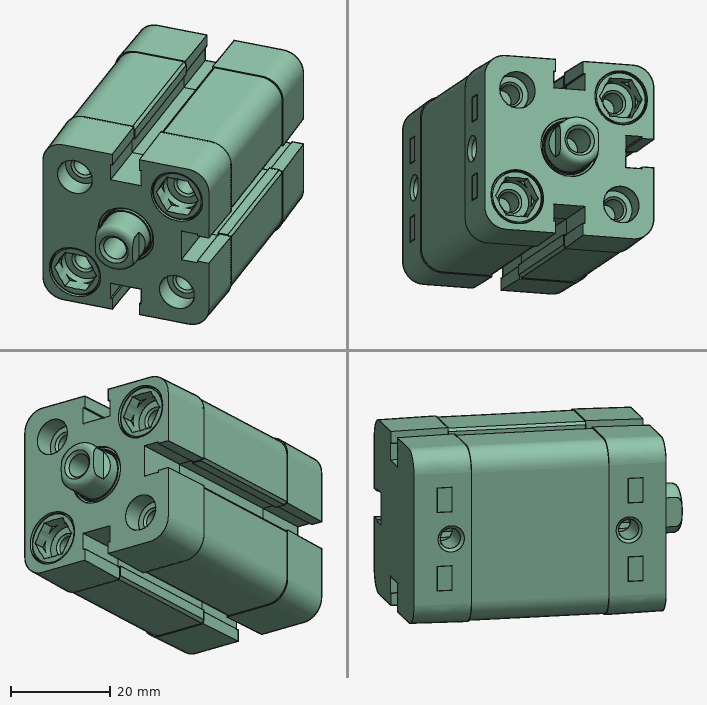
import cadquery as cq
import math


total_length = 58.6
rod_projection = 6.55
cap_length = 11.85
body_length = total_length - rod_projection
barrel_length = body_length - 2 * cap_length
mid_y = body_length / 2

cap_width = 36.3
cap_draft = 1.0
barrel_width = 35.85
corner_radius = 4.65

slot_depth = 6.15
slot_lip_depth = 2.7
slot_inner_width = 6.6
cap_slot_mouth = 5.85
barrel_slot_mouth = 5.45
barrel_slot_chamfer = 0.6

rod_diameter = 10.0
rod_end_fillet = 1.35
rod_flats = 8.0
rod_flat_length = 3.45
rod_thread_diameter = 4.9
rod_thread_mouth = 6.2
rod_thread_depth = 8.8
rod_rear_gap = 6.0
rod_length = total_length - rod_rear_gap

wiper_recess_diameter = 12.0
wiper_recess_depth = 0.6
wiper_lip_outer_base = 11.1
wiper_lip_outer_tip = 10.9
wiper_lip_inner_tip = 10.5

corner_pitch = 22.05
plain_hole_diameter = 7.5
plain_hole_depth = 4.4
pilot_diameter = 4.15
pilot_mouth = 5.1
pilot_depth = 5.85
collar_recess_diameter = 11.1
collar_recess_depth = 0.3
collar_diameter = 10.9
collar_chamfer = 0.3
collar_groove_depth = 0.7
socket_bore = 8.0
socket_flats = 7.85
socket_depth = 2.95
socket_bore_depth = 4.85

port_inset = 7.6
port_diameter = 4.15
port_mouth = 5.4
port_floor_x = -9.95
passage_width = 2.95
front_passage_inset = 4.7

label_inset = 6.3
label_length = 3.05
label_height = 5.05
label_offset = 8.1
label_depth = 0.2

cut_clearance = 0.6


def section(y):
    """XZ sketch plane at the given Y; a negative extrusion runs towards +Y."""
    return cq.Workplane("XZ", origin=(0, y, 0))


def square_section(y, width):
    """Rounded square outline centred on the axis."""
    return section(y).sketch().rect(width, width).vertices().fillet(corner_radius).finalize()


def cylinder(diameter, start, length, x=0.0, z=0.0):
    """Cylinder along +Y."""
    return section(start).center(x, z).circle(diameter / 2).extrude(-length)


def cone(start_diameter, end_diameter, start, length, x=0.0, z=0.0):
    """Truncated cone along +Y."""
    solid = cq.Solid.makeCone(
        start_diameter / 2, end_diameter / 2, length, cq.Vector(x, start, z), cq.Vector(0, 1, 0)
    )
    return cq.Workplane(solid)


def cut_slots(body, width, mouth, mouth_chamfer):
    """Cut the T-shaped slots, all with one floor level, into the top, right and bottom sides."""
    top = width / 2
    lip = top - slot_lip_depth
    floor = cap_width / 2 - slot_depth
    half_mouth = mouth / 2
    half_inner = slot_inner_width / 2
    half_outline = [
        (half_mouth + mouth_chamfer, top + cut_clearance),
        (half_mouth + mouth_chamfer, top),
        (half_mouth, top - mouth_chamfer),
        (half_mouth, lip),
        (half_inner, lip),
        (half_inner, floor),
    ]
    if mouth_chamfer == 0:
        del half_outline[1:3]
    outline = half_outline + [(-x, z) for x, z in reversed(half_outline)]
    cutter = section(0).polyline(outline).close().extrude(-body_length)
    for angle in (0, 90, 180):
        body = body.cut(cutter.rotate((0, 0, 0), (0, 1, 0), angle))
    return body


def plain_cap():
    """Front-end cap with the slots, port and label recesses that both caps share."""
    cap = square_section(cap_length, cap_width).extrude(cap_length, taper=cap_draft)
    cap = cut_slots(cap, cap_width, cap_slot_mouth, 0)

    def side_x(inset):
        """X of the drafted -X side at a distance from the free end."""
        return -cap_width / 2 + (cap_length - inset) * math.tan(math.radians(cap_draft))

    port_plane = cq.Workplane("YZ", origin=(port_floor_x, port_inset, 0))
    cap = cap.cut(port_plane.circle(port_diameter / 2).extrude(-cap_width))
    clearance = side_x(port_inset) + cap_width / 2
    mouth_radius = port_mouth / 2 + clearance
    mouth = cq.Solid.makeCone(
        mouth_radius, port_diameter / 2, mouth_radius - port_diameter / 2,
        cq.Vector(-cap_width / 2, port_inset, 0), cq.Vector(1, 0, 0),
    )
    cap = cap.cut(cq.Workplane(mouth))

    label_floor = side_x(label_inset) + label_depth
    labels = (
        cq.Workplane("YZ", origin=(label_floor, label_inset, 0))
        .pushPoints([(0, label_offset), (0, -label_offset)])
        .rect(label_length, label_height)
        .extrude(-cut_clearance)
    )
    return cap.cut(labels)


def passage(start_inset):
    """Flat air passage from the port floor to the rod bore, open at the joint face."""
    length = cap_length - start_inset
    return cq.Workplane("XY").box(
        -port_floor_x, length, passage_width, centered=(False, False, True)
    ).translate((port_floor_x, start_inset, 0))


def pilot_hole(start, x, z):
    """Cutter for the chamfered blind hole in the floor of a corner hole."""
    hole = cylinder(pilot_diameter, start, pilot_depth, x, z)
    mouth_depth = (pilot_mouth - pilot_diameter) / 2
    return hole.union(cone(pilot_mouth, pilot_diameter, start, mouth_depth, x, z))


def plain_corner(x, z):
    """Cutter for a plain corner hole."""
    hole = cylinder(plain_hole_diameter, 0, plain_hole_depth, x, z)
    return hole.union(pilot_hole(plain_hole_depth, x, z))


def collar_corner(x, z):
    """Cutter that leaves a sunken chamfered collar and bores a hexagon socket through it."""
    chamfer_end = collar_recess_depth + collar_chamfer
    collar_face = collar_diameter - 2 * collar_chamfer
    collar = cone(collar_face, collar_diameter, collar_recess_depth, collar_chamfer, x, z)
    collar = collar.union(cylinder(collar_diameter, chamfer_end, collar_groove_depth - chamfer_end, x, z))
    recess = cylinder(collar_recess_diameter, 0, collar_groove_depth, x, z).cut(collar)
    across_corners = socket_flats / math.cos(math.pi / 6)
    hexagon = section(0).center(x, z).polygon(6, across_corners).extrude(-socket_depth)
    bore = cylinder(socket_bore, 0, socket_bore_depth, x, z)
    return recess.union(hexagon).union(bore).union(pilot_hole(socket_bore_depth, x, z))


def make_front_cap():
    cap = plain_cap().cut(passage(front_passage_inset))
    recess = cylinder(wiper_recess_diameter, 0, wiper_recess_depth)
    lip = cone(wiper_lip_outer_tip, wiper_lip_outer_base, 0, wiper_recess_depth)
    lip = lip.cut(cone(wiper_lip_inner_tip, rod_diameter, 0, wiper_recess_depth))
    cap = cap.cut(recess.cut(lip)).cut(cylinder(rod_diameter, 0, cap_length))
    reach = corner_pitch / 2
    for side in (1, -1):
        cap = cap.cut(collar_corner(side * reach, side * reach))
        cap = cap.cut(plain_corner(side * reach, -side * reach))
    return cap


def make_barrel():
    barrel = square_section(cap_length, barrel_width).extrude(-barrel_length)
    barrel = cut_slots(barrel, barrel_width, barrel_slot_mouth, barrel_slot_chamfer)
    return barrel.cut(cylinder(rod_diameter, cap_length, barrel_length))


def make_rear_cap():
    cap = plain_cap().cut(passage(rod_rear_gap))
    cap = cap.cut(cylinder(rod_diameter, rod_rear_gap, cap_length - rod_rear_gap))
    return cap.mirror("XZ", (0, mid_y, 0))


def make_piston_rod():
    tip = -rod_projection
    rod = cylinder(rod_diameter, tip, rod_length).faces("<Y").edges().fillet(rod_end_fillet)
    rod = rod.cut(cylinder(rod_thread_diameter, tip, rod_thread_depth))
    mouth_depth = (rod_thread_mouth - rod_thread_diameter) / 2
    rod = rod.cut(cone(rod_thread_mouth, rod_thread_diameter, tip, mouth_depth))
    flat_x = rod_flats / 2
    flat_end = tip + rod_flat_length
    outline = [
        (flat_x, tip),
        (flat_x, flat_end),
        (rod_diameter, flat_end + rod_diameter - flat_x),
        (rod_diameter, tip),
    ]
    flat = cq.Workplane("XY").polyline(outline).close().extrude(rod_diameter, both=True)
    return rod.cut(flat).cut(flat.mirror("YZ"))


front_cap = make_front_cap()
barrel = make_barrel()
rear_cap = make_rear_cap()
piston_rod = make_piston_rod()

result = cq.Compound.makeCompound(
    [front_cap.val(), barrel.val(), rear_cap.val(), piston_rod.val()]
)